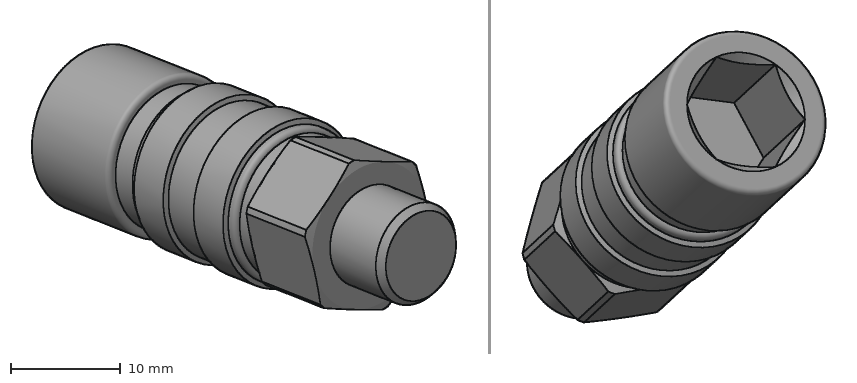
import cadquery as cq
import math

TOTAL_LENGTH = 45

GRIP_END = 10.85
COLLAR_START = 13.5
FRONT_RING_START = 14.5
FRONT_RING_END = 18.75
REAR_RING_START = 22.7
REAR_RING_END = 27
COLLAR_END = 27.95
NUT_START = 29.45
NUT_END = 38.0

GRIP_DIAMETER = 15.8
NECK_DIAMETER = 14.0
COLLAR_DIAMETER = 15.1
RING_DIAMETER = 16.15
STUB_DIAMETER = 9.7

EDGE_RADIUS = 0.5
RING_FLANK_LENGTH = 0.15
STUB_CHAMFER_LENGTH = 0.7
STUB_CHAMFER_DEPTH = 0.6

NUT_ACROSS_FLATS = 14.0
NUT_CORNER_DIAMETER = 15.8
NUT_TURN = 15
NUT_CHAMFER_ANGLE = 15

SOCKET_CORNER_DIAMETER = 11.48
SOCKET_DEPTH = GRIP_END
SOCKET_LEAD_IN_ANGLE = 45


def cylinder(start, end, diameter):
    """Solid cylinder along X between two stations."""
    return cq.Workplane("YZ").workplane(offset=start).circle(diameter / 2).extrude(end - start)


def hexagon(start, end, corner_diameter):
    """Hexagonal prism along X with two corners on the Y axis."""
    return cq.Workplane("YZ").workplane(offset=start).polygon(6, corner_diameter).extrude(end - start)


def turned(outline):
    """Solid of revolution about X from (station, radius) points."""
    return cq.Workplane("XY").polyline(outline).close().revolve(360, (0, 0, 0), (1, 0, 0))


def make_grip():
    return cylinder(0, GRIP_END, GRIP_DIAMETER).edges().fillet(EDGE_RADIUS)


def make_ring(start, end):
    """Raised ring whose steep sides rise from the collar surface."""
    base_radius = COLLAR_DIAMETER / 2
    crest_radius = RING_DIAMETER / 2
    return turned([
        (start, 0),
        (start, base_radius),
        (start + RING_FLANK_LENGTH, crest_radius),
        (end - RING_FLANK_LENGTH, crest_radius),
        (end, base_radius),
        (end, 0),
    ])


def make_collar():
    collar = cylinder(COLLAR_START, COLLAR_END, COLLAR_DIAMETER).edges().fillet(EDGE_RADIUS)
    front_ring = make_ring(FRONT_RING_START, FRONT_RING_END)
    rear_ring = make_ring(REAR_RING_START, REAR_RING_END)
    return collar.union(front_ring).union(rear_ring)


def make_nut():
    end_radius = NUT_ACROSS_FLATS / 2
    corner_radius = NUT_CORNER_DIAMETER / 2
    chamfer_length = (corner_radius - end_radius) * math.tan(math.radians(NUT_CHAMFER_ANGLE))
    sharp_corner_diameter = NUT_ACROSS_FLATS / math.cos(math.pi / 6)
    prism = hexagon(NUT_START, NUT_END, sharp_corner_diameter)
    prism = prism.rotate((0, 0, 0), (1, 0, 0), -NUT_TURN)
    blank = turned([
        (NUT_START, 0),
        (NUT_START, end_radius),
        (NUT_START + chamfer_length, corner_radius),
        (NUT_END - chamfer_length, corner_radius),
        (NUT_END, end_radius),
        (NUT_END, 0),
    ])
    return prism.intersect(blank)


def make_stub():
    radius = STUB_DIAMETER / 2
    return turned([
        (NUT_END, 0),
        (NUT_END, radius),
        (TOTAL_LENGTH - STUB_CHAMFER_LENGTH, radius),
        (TOTAL_LENGTH, radius - STUB_CHAMFER_DEPTH),
        (TOTAL_LENGTH, 0),
    ])


def make_socket():
    mouth_radius = SOCKET_CORNER_DIAMETER / 2
    cone_length = mouth_radius / math.tan(math.radians(SOCKET_LEAD_IN_ANGLE))
    lead_in = turned([(0, 0), (0, mouth_radius), (cone_length, 0)])
    return hexagon(0, SOCKET_DEPTH, SOCKET_CORNER_DIAMETER).union(lead_in)


body = make_grip()
body = body.union(cylinder(GRIP_END, NUT_START, NECK_DIAMETER))
body = body.union(make_collar())
body = body.union(make_nut())
body = body.union(make_stub())
result = body.cut(make_socket())